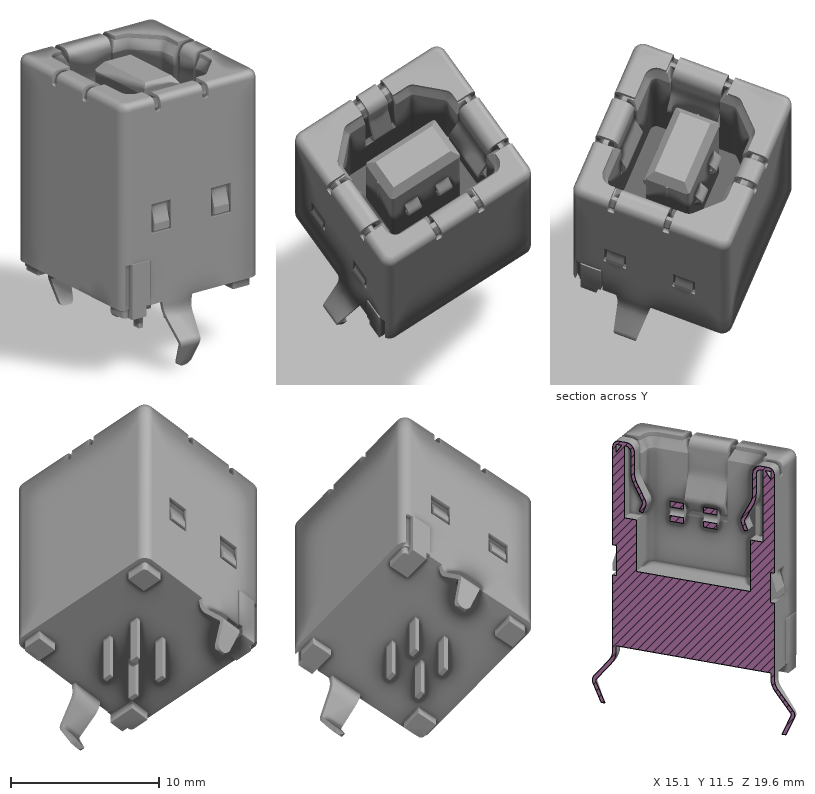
import cadquery as cq
import math

SHELL_X, SHELL_Y = 12.1, 11.46
SHELL_TOP, SHELL_BOTTOM = 15.65, 0.7
SHEET = 0.3
SHELL_CORNER_R = 0.7
SHELL_TOP_R = 0.5
HALF_X, HALF_Y = SHELL_X / 2, SHELL_Y / 2
BODY_TOP = SHELL_TOP - SHEET
BODY_CORNER_R = SHELL_CORNER_R - SHEET
BODY_CHAMFER_IN, BODY_CHAMFER_DOWN = 0.36, 0.5

CAVITY_HALF_X, CAVITY_HALF_Y = 4.24, 3.88
CAVITY_CUT = 1.7
CAVITY_CUT_R = 0.3
CAVITY_CORNER_R = 0.45
CAVITY_FLOOR = 6.4
LEAD_IN_WIDTH, LEAD_IN_DEPTH = 0.37, 0.7

TONGUE_X, TONGUE_Y, TONGUE_TOP = 5.68, 3.22, 15.15
TONGUE_CORNER_R = 0.25
TONGUE_CHAMFER_IN, TONGUE_CHAMFER_DOWN = 0.52, 0.67
RIDGE_OUT, RIDGE_WIDTH = 0.05, 0.14
CONTACT_X, CONTACT_WIDTH = 1.25, 1.03
CONTACT_OUT = 0.71
CONTACT_TOP, CONTACT_MID, CONTACT_END = 12.0, 11.2, 10.4
CONTACT_BEND_R = 0.3

SLOT_WIDTH, SLOT_DEPTH, SLOT_BOTTOM_R = 0.5, 1.0, 0.15
TAB_FLAT_END = 1.0
TAB_ROLL_R = 0.65
TAB_REACH_DEPTH, TAB_END_DEPTH = 4.2, 4.9
TAB_RETURN = 0.3
TAB_BEND_R, TAB_TIP_R = 1.6, 0.3
RECESS_DEPTH = 5.2
RECESS_SIDE_GAP = 0.05
RECESS_SIDE_CHAMFER = 0.36
RECESS_BACK_CHAMFER = 0.35
SIDE_TAB = dict(face=HALF_X, width=3.5, reach=2.57, bend_depth=2.5, back=0.9, chamfered="sides")
SIDE_TAB_Y = -0.79
TABS = [
    dict(SIDE_TAB, angle=0, center=SIDE_TAB_Y),
    dict(SIDE_TAB, angle=180, center=-SIDE_TAB_Y),
    dict(angle=90, face=HALF_Y, center=0, width=1.5, reach=2.25, bend_depth=1.85, back=1.45, chamfered="back"),
    dict(angle=-90, face=HALF_Y, center=0, width=2.94, reach=2.3, bend_depth=2.4, back=1.0, chamfered="sides"),
]

EAR_OUT = 6.13
INSET_ROOT_X = HALF_X - 2 * SHEET
LATCH_Y = 2.5
WINDOW_Y, WINDOW_BOTTOM, WINDOW_TOP = 1.67, 5.85, 8.0
LATCH_WIDTH, LATCH_BOTTOM, LATCH_LIP, LATCH_TOP = 1.23, 6.05, 6.57, 7.72

FOOT_LENGTH = 1.53
FOOT_INSET = 0.4
FOOT_CORNER_R = 0.3
EAR_TOP, EAR_BOTTOM = 4.0, 0.77
EAR_GAP = 0.1
EAR_CUT_Y_MIN = -5.4
EAR_Y_MIN, EAR_Y_MAX = -4.97, -3.5

PIN_X, PIN_WIDTH, PIN_THICKNESS, PIN_END = 1.25, 0.62, 0.32, -3.02
PIN_ROWS_Y = (1.6, -0.9)

LEG_Y = -1.15
LEG_TOP_HALF, LEG_END_HALF = 1.25, 0.55
LEG_TAPER_END, LEG_TIP = -3.65, -3.99
LEG_ROOT_Z = 1.5
LEG_PATH = [(HALF_X - SHEET / 2, LEG_ROOT_Z), (HALF_X - SHEET / 2, -0.135), (7.483, -2.02), (6.59, -3.93)]
LEG_UPPER_R, LEG_ELBOW_R = 1.2, 0.18

OVERCUT = 1.0


def box(x0, x1, y0, y1, z0, z1):
    """Box between two opposite corners."""
    return cq.Workplane("XY").box(x1 - x0, y1 - y0, z1 - z0, centered=False).translate((x0, y0, z0))


def extrude_y(profile, y_center, width):
    """Extrude an XZ profile symmetrically about y_center."""
    return profile.extrude(width / 2, both=True).translate((0, y_center, 0))


def strip_outline(path, thickness):
    """Mitred outline of a strip whose middle line follows path."""
    normals = []
    for (x0, z0), (x1, z1) in zip(path, path[1:]):
        length = math.hypot(x1 - x0, z1 - z0)
        normals.append(((z0 - z1) / length, (x1 - x0) / length))
    before = [normals[0]] + normals
    after = normals + [normals[-1]]
    left, right = [], []
    for (x, z), (ax, az), (bx, bz) in zip(path, before, after):
        scale = thickness / 2 / (1 + ax * bx + az * bz)
        dx, dz = (ax + bx) * scale, (az + bz) * scale
        left.append((x + dx, z + dz))
        right.append((x - dx, z - dz))
    return left + right[::-1]


def bent_strip(path, y_center, width, inner_radii):
    """Sheet strip along an XZ path, with an inner radius for each bend in turn."""
    outline = strip_outline(path, SHEET)
    strip = extrude_y(cq.Workplane("XZ").polyline(outline).close(), y_center, width)
    for index, inner_r in enumerate(inner_radii, start=1):
        (x0, z0), (x1, z1), (x2, z2) = path[index - 1:index + 2]
        turns_left = (x1 - x0) * (z2 - z1) > (z1 - z0) * (x2 - x1)
        left, right = outline[index], outline[-1 - index]
        inner, outer = (left, right) if turns_left else (right, left)
        for (x, z), radius in ((inner, inner_r), (outer, inner_r + SHEET)):
            bend = cq.selectors.NearestToPointSelector((x, y_center, z))
            strip = strip.edges(bend).fillet(radius)
    return strip


def mirror_x(solid):
    """The solid together with its mirror image across X = 0."""
    return solid.union(solid.mirror("YZ"))


def cavity_section(z):
    """Outline of the D-shaped cavity at height z."""
    hx, hy, cut = CAVITY_HALF_X, CAVITY_HALF_Y, CAVITY_CUT
    outline = [(-hx, -hy), (hx, -hy), (hx, hy - cut), (hx - cut, hy), (cut - hx, hy), (-hx, hy - cut)]
    sketch = cq.Sketch().polygon(outline + outline[:1])
    sketch = sketch.vertices("not <Y").fillet(CAVITY_CUT_R).reset()
    sketch = sketch.vertices("<Y").fillet(CAVITY_CORNER_R)
    return cq.Workplane("XY", origin=(0, 0, z)).placeSketch(sketch)


def make_mouth():
    """Cavity, flared lead-in and the shell window above it."""
    lead_in_bottom = BODY_TOP - LEAD_IN_DEPTH
    flare = math.degrees(math.atan2(LEAD_IN_WIDTH, LEAD_IN_DEPTH))
    cavity = cavity_section(CAVITY_FLOOR).extrude(lead_in_bottom - CAVITY_FLOOR)
    lead_in = cavity_section(lead_in_bottom).extrude(LEAD_IN_DEPTH, taper=-flare)
    window = lead_in.faces(">Z").wires().toPending().workplane().extrude(OVERCUT, combine=False)
    return cavity.union(lead_in).union(window)


def shell_inside():
    """Space enclosed by the metal shell."""
    x, y = HALF_X - SHEET, HALF_Y - SHEET
    return box(-x, x, -y, y, SHELL_BOTTOM, BODY_TOP).edges("|Z").fillet(BODY_CORNER_R)


def make_body_block():
    """Plastic block that fills the inside of the shell, chamfered around its top."""
    return shell_inside().faces(">Z").chamfer(BODY_CHAMFER_DOWN, BODY_CHAMFER_IN)


def place_on_side(solid, angle):
    """Turn a feature built on the +X side about the Z axis."""
    return solid.rotate((0, 0, 0), (0, 0, 1), angle)


def tab_recess(tab):
    """Pocket in the body behind one spring tab."""
    center, chamfered_sides = tab["center"], tab["chamfered"] == "sides"
    half = tab["width"] / 2 + (RECESS_SIDE_GAP if chamfered_sides else SLOT_WIDTH)
    inner = tab["face"] - TAB_FLAT_END - 2 * TAB_ROLL_R
    outer = tab["face"] - tab["back"]
    flare_bottom = BODY_TOP - LEAD_IN_DEPTH
    recess = box(inner, outer, center - half, center + half, BODY_TOP - RECESS_DEPTH, BODY_TOP + OVERCUT)
    if chamfered_sides:
        flare_profile = [
            (center - half - RECESS_SIDE_CHAMFER, BODY_TOP),
            (center + half + RECESS_SIDE_CHAMFER, BODY_TOP),
            (center + half, flare_bottom),
            (center - half, flare_bottom),
        ]
        flare = cq.Workplane("YZ", origin=(inner, 0, 0)).polyline(flare_profile).close()
        flare = flare.extrude(outer - inner)
    else:
        flare_profile = [
            (inner, BODY_TOP),
            (outer + RECESS_BACK_CHAMFER, BODY_TOP),
            (outer, flare_bottom),
            (inner, flare_bottom),
        ]
        flare = extrude_y(cq.Workplane("XZ").polyline(flare_profile).close(), center, 2 * half)
    return place_on_side(recess.union(flare), tab["angle"])


def tab_slots(tab):
    """Two slots beside a tab and the opening its roll drops through."""
    face, center, half = tab["face"], tab["center"], tab["width"] / 2
    inner = face - TAB_FLAT_END - 2 * TAB_ROLL_R
    bottom, top = SHELL_TOP - SLOT_DEPTH, SHELL_TOP + OVERCUT
    cut = box(inner, face - TAB_FLAT_END, center - half, center + half, bottom, top)
    for start in (center - half - SLOT_WIDTH, center + half):
        slot = box(inner, face + OVERCUT, start, start + SLOT_WIDTH, bottom, top)
        cut = cut.union(slot.edges("|X and <Z").fillet(SLOT_BOTTOM_R))
    return place_on_side(cut, tab["angle"])


def make_tab(tab):
    """Spring tab: rolled over the edge, down, sloping inward, then turned back."""
    face, center, width = tab["face"], tab["center"], tab["width"]
    roll_x, roll_z = face - TAB_FLAT_END, SHELL_TOP - TAB_ROLL_R
    inner_r = TAB_ROLL_R - SHEET
    roll = (
        cq.Workplane("XZ")
        .moveTo(roll_x, SHELL_TOP)
        .radiusArc((roll_x - TAB_ROLL_R, roll_z), -TAB_ROLL_R)
        .lineTo(roll_x - inner_r, roll_z)
        .radiusArc((roll_x, roll_z + inner_r), inner_r)
        .close()
    )
    blade_x = roll_x - TAB_ROLL_R + SHEET / 2
    reach_x = face - tab["reach"] + SHEET / 2
    path = [
        (blade_x, roll_z),
        (blade_x, SHELL_TOP - tab["bend_depth"]),
        (reach_x, SHELL_TOP - TAB_REACH_DEPTH),
        (reach_x + TAB_RETURN, SHELL_TOP - TAB_END_DEPTH),
    ]
    blade = bent_strip(path, center, width, [TAB_BEND_R, TAB_TIP_R])
    return place_on_side(extrude_y(roll, center, width).union(blade), tab["angle"])


def make_shell(mouth):
    """Folded metal shell with mouth, tab slots, latch windows and ear cutouts."""
    shell = box(-HALF_X, HALF_X, -HALF_Y, HALF_Y, SHELL_BOTTOM, SHELL_TOP)
    shell = shell.edges("|Z").fillet(SHELL_CORNER_R).faces(">Z").edges().fillet(SHELL_TOP_R)
    shell = shell.cut(shell_inside()).cut(mouth)
    for tab in TABS:
        shell = shell.cut(tab_slots(tab))
    for y in (-LATCH_Y, LATCH_Y):
        half = WINDOW_Y / 2
        shell = shell.cut(box(-HALF_X, HALF_X, y - half, y + half, WINDOW_BOTTOM, WINDOW_TOP))
    ear_cut = box(-HALF_X, HALF_X, EAR_CUT_Y_MIN, EAR_Y_MAX + EAR_GAP, SHELL_BOTTOM, EAR_TOP)
    middle = box(-INSET_ROOT_X, INSET_ROOT_X, -HALF_Y, HALF_Y, SHELL_BOTTOM, EAR_TOP)
    shell = shell.cut(ear_cut.cut(middle))
    for tab in TABS:
        shell = shell.union(make_tab(tab))
    return shell


def make_tongue():
    """Centre tongue with chamfered top and a thin ridge on each end."""
    half_x, half_y = TONGUE_X / 2, TONGUE_Y / 2
    tongue = box(-half_x, half_x, -half_y, half_y, CAVITY_FLOOR, TONGUE_TOP)
    tongue = tongue.edges("|Z").fillet(TONGUE_CORNER_R)
    chamfer_bottom = TONGUE_TOP - TONGUE_CHAMFER_DOWN
    slope = math.degrees(math.atan2(TONGUE_CHAMFER_IN, TONGUE_CHAMFER_DOWN))
    stem = box(-half_x, half_x, -half_y, half_y, CAVITY_FLOOR, chamfer_bottom)
    crown = cq.Workplane("XY", origin=(0, 0, chamfer_bottom)).rect(TONGUE_X, TONGUE_Y)
    tongue = tongue.intersect(stem.union(crown.extrude(TONGUE_CHAMFER_DOWN, taper=slope)))
    ridge_x = half_x + RIDGE_OUT
    half_ridge = RIDGE_WIDTH / 2
    return tongue.union(box(-ridge_x, ridge_x, -half_ridge, half_ridge, CAVITY_FLOOR, chamfer_bottom))


def make_contacts():
    """Four bowed contact springs along the two long sides of the tongue."""
    root_y = TONGUE_Y / 2 - SHEET / 2
    path = [
        (root_y, CONTACT_TOP),
        (root_y + CONTACT_OUT, CONTACT_MID),
        (root_y, CONTACT_END),
    ]
    contacts = cq.Workplane("XY")
    for offset in (-CONTACT_X, CONTACT_X):
        spring = bent_strip(path, offset, CONTACT_WIDTH, [CONTACT_BEND_R])
        for angle in (90, -90):
            contacts = contacts.union(place_on_side(spring, angle))
    return contacts


def make_latches():
    """Snap latches that stand in the shell windows."""
    face = HALF_X - SHEET
    profile = [
        (INSET_ROOT_X, LATCH_TOP),
        (face, LATCH_TOP),
        (EAR_OUT, LATCH_LIP),
        (EAR_OUT, LATCH_BOTTOM),
        (INSET_ROOT_X, LATCH_BOTTOM),
    ]
    latches = cq.Workplane("XY")
    for y in (-LATCH_Y, LATCH_Y):
        latches = latches.union(extrude_y(cq.Workplane("XZ").polyline(profile).close(), y, LATCH_WIDTH))
    return mirror_x(latches)


def make_feet():
    """Four stand-off feet and the two ears rising from the -Y pair."""
    x, y = HALF_X - FOOT_INSET, HALF_Y - FOOT_INSET
    foot = box(x - FOOT_LENGTH, x, y - FOOT_LENGTH, y, 0, SHELL_BOTTOM)
    foot = foot.edges("|Z and >X and >Y").fillet(FOOT_CORNER_R)
    ear = box(INSET_ROOT_X, EAR_OUT, EAR_Y_MIN, EAR_Y_MAX, EAR_BOTTOM, EAR_TOP)
    ear_foot = box(INSET_ROOT_X, EAR_OUT, EAR_Y_MIN, FOOT_LENGTH + FOOT_INSET - HALF_Y, 0, EAR_BOTTOM)
    return mirror_x(foot.union(foot.mirror("XZ")).union(ear).union(ear_foot))


def make_pins():
    """Four solder pins."""
    half_w, half_t = PIN_WIDTH / 2, PIN_THICKNESS / 2
    pins = cq.Workplane("XY")
    for y in PIN_ROWS_Y:
        pin = box(PIN_X - half_w, PIN_X + half_w, y - half_t, y + half_t, PIN_END, SHELL_BOTTOM)
        pins = pins.union(mirror_x(pin))
    return pins


def make_legs():
    """Two bent board locks: a sheet strip trimmed to a tapered, round-tipped tongue."""
    strip = bent_strip(LEG_PATH, LEG_Y, 2 * LEG_TOP_HALF, [LEG_UPPER_R, LEG_ELBOW_R])
    shape = (
        cq.Workplane("YZ")
        .moveTo(LEG_Y - LEG_TOP_HALF, SHELL_BOTTOM)
        .lineTo(LEG_Y - LEG_END_HALF, LEG_TAPER_END)
        .threePointArc((LEG_Y, LEG_TIP), (LEG_Y + LEG_END_HALF, LEG_TAPER_END))
        .lineTo(LEG_Y + LEG_TOP_HALF, SHELL_BOTTOM)
        .lineTo(LEG_Y + LEG_TOP_HALF, LEG_ROOT_Z)
        .lineTo(LEG_Y - LEG_TOP_HALF, LEG_ROOT_Z)
        .close()
        .extrude(SHELL_X)
    )
    return mirror_x(strip.intersect(shape))


def make_body(mouth):
    """Plastic body with cavity, tab recesses, tongue, latches and feet."""
    body = make_body_block().cut(mouth)
    for tab in TABS:
        body = body.cut(tab_recess(tab))
    return body.union(make_tongue()).union(make_latches()).union(make_feet())


mouth = make_mouth()
result = make_body(mouth).union(make_shell(mouth))
result = result.union(make_contacts()).union(make_pins()).union(make_legs())